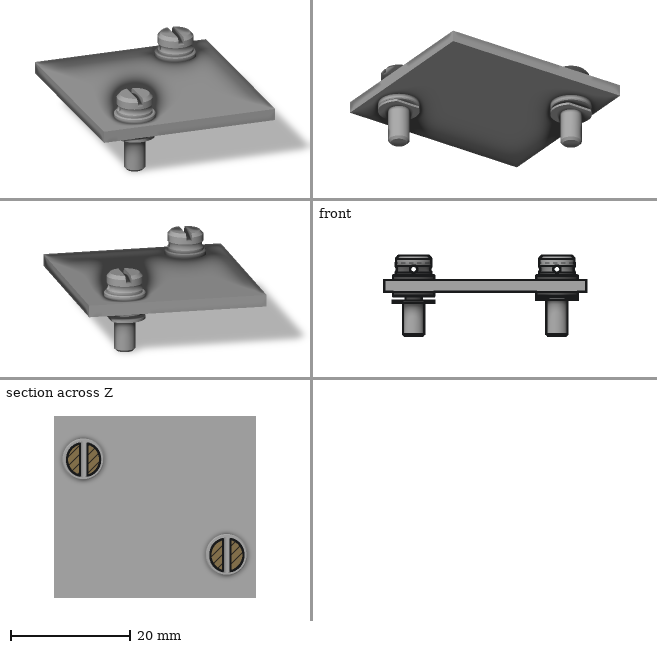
import cadquery as cq

plate_length = 33.9
plate_width = 30.5
plate_thickness = 2.0

screw_x = 12.0
screw_y = 8.0

sleeve_radius = 3.5
sleeve_proud = 0.8
sleeve_chamfer = 0.17
sleeve_top = plate_thickness + sleeve_proud
sleeve_bottom = -sleeve_proud

total_height = 13.53
head_top = 6.1
head_radius = 3.02
bevel_width = 0.5
bevel_height = 0.58
waist_radius = 2.8
waist_top = head_top - 1.75
waist_bottom = head_top - 2.85
waist_middle = (waist_top + waist_bottom) / 2
slot_width = 1.0
slot_depth = 1.25
cross_hole_diameter = 1.2

neck_radius = 1.4
shank_radius = 1.8
shank_chamfer = 0.4
shank_bottom = head_top - total_height

clip_radius = 3.5
clip_thickness = 0.4
clip_flat_distance = 2.68
loose_clip_gap = 0.6
tight_clip_gap = 0.17


def cylinder(radius, bottom, top):
    return cq.Workplane("XY").workplane(offset=bottom).circle(radius).extrude(top - bottom)


def make_sleeve():
    sleeve = cylinder(sleeve_radius, sleeve_bottom, sleeve_top)
    return sleeve.faces("<Z or >Z").chamfer(sleeve_chamfer)


def make_head():
    """Turned head, with a screwdriver slot along X and a cross hole along Y."""
    head = (
        cq.Workplane("XZ")
        .moveTo(0, sleeve_bottom)
        .lineTo(head_radius, sleeve_bottom)
        .lineTo(head_radius, waist_bottom)
        .threePointArc((waist_radius, waist_middle), (head_radius, waist_top))
        .lineTo(head_radius, head_top - bevel_height)
        .lineTo(head_radius - bevel_width, head_top)
        .lineTo(0, head_top)
        .close()
        .revolve(360, (0, 0, 0), (0, 1, 0))
    )
    slot = (
        cq.Workplane("XY")
        .workplane(offset=head_top - slot_depth)
        .rect(2 * head_radius, slot_width)
        .extrude(slot_depth)
    )
    cross_hole = (
        cq.Workplane("XZ")
        .center(0, waist_middle)
        .circle(cross_hole_diameter / 2)
        .extrude(head_radius, both=True)
    )
    return head.cut(slot).cut(cross_hole)


def make_clip(bottom):
    top = bottom + clip_thickness
    clip = cylinder(clip_radius, bottom, top)
    beyond_flat = (
        cq.Workplane("XY")
        .workplane(offset=bottom)
        .center(0, clip_flat_distance + clip_radius / 2)
        .rect(2 * clip_radius, clip_radius)
        .extrude(clip_thickness)
    )
    return clip.cut(beyond_flat)


def make_screw(clip_gap):
    """Sleeve, head, neck, clip and shank on the Z axis; the gap lies between sleeve and clip."""
    clip_bottom = sleeve_bottom - clip_gap - clip_thickness
    neck = cylinder(neck_radius, clip_bottom, sleeve_bottom)
    shank = cylinder(shank_radius, shank_bottom, clip_bottom).faces("<Z").chamfer(shank_chamfer)
    screw = make_sleeve().union(make_head()).union(neck)
    return screw.union(make_clip(clip_bottom)).union(shank)


plate = cq.Workplane("XY").box(
    plate_length, plate_width, plate_thickness, centered=(True, True, False)
)
left_screw = make_screw(loose_clip_gap).translate((-screw_x, screw_y, 0))
right_screw = make_screw(tight_clip_gap).translate((screw_x, -screw_y, 0))

result = plate.union(left_screw).union(right_screw)